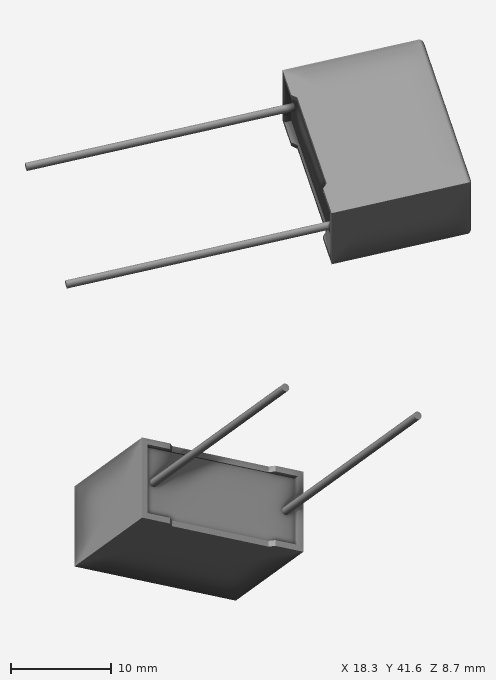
import cadquery as cq

case_width = 18.3
case_height = 8.7
overall_length = 41.6
case_length = 14.55
wall = 0.62
end_fillet = 0.5

notch_width = 11.95
notch_depth = 0.5
filler_recess = 0.7

lead_diameter = 0.85
lead_pitch = 15.0

case_end_y = case_length
cavity_end_y = case_length - wall
filler_face_y = filler_recess
lead_tip_y = case_length - overall_length

cavity_width = case_width - 2 * wall
cavity_height = case_height - 2 * wall


def block(width, height, start_y, end_y):
    """Box centred on the Y axis, reaching from start_y to end_y."""
    return cq.Workplane("XY").box(width, end_y - start_y, height).translate((0, (start_y + end_y) / 2, 0))


def make_notches():
    """Trapezoidal cutter that notches the rim of the top and bottom walls."""
    rim_half = notch_width / 2
    inner_half = rim_half - notch_depth
    return (
        cq.Workplane("XY")
        .polyline([(-rim_half, 0), (-inner_half, notch_depth), (inner_half, notch_depth), (rim_half, 0)])
        .close()
        .extrude(case_height, both=True)
    )


def make_case():
    """Box open at the rim, with a rounded closed end and notched long walls."""
    shell = block(case_width, case_height, 0, case_end_y).faces(">Y").edges().fillet(end_fillet)
    cavity = block(cavity_width, cavity_height, 0, cavity_end_y)
    return shell.cut(cavity).cut(make_notches())


def make_filler():
    """Potting block that fills the cavity up to its recessed face."""
    return block(cavity_width, cavity_height, filler_face_y, cavity_end_y)


def make_lead(x):
    """Straight round wire standing on the filler face."""
    return (
        cq.Workplane("XZ", origin=(x, filler_face_y, 0))
        .circle(lead_diameter / 2)
        .extrude(filler_face_y - lead_tip_y)
    )


case = make_case()
filler = make_filler()
leads = [make_lead(side * lead_pitch / 2) for side in (-1, 1)]

result = cq.Compound.makeCompound([case.val(), filler.val(), *[lead.val() for lead in leads]])